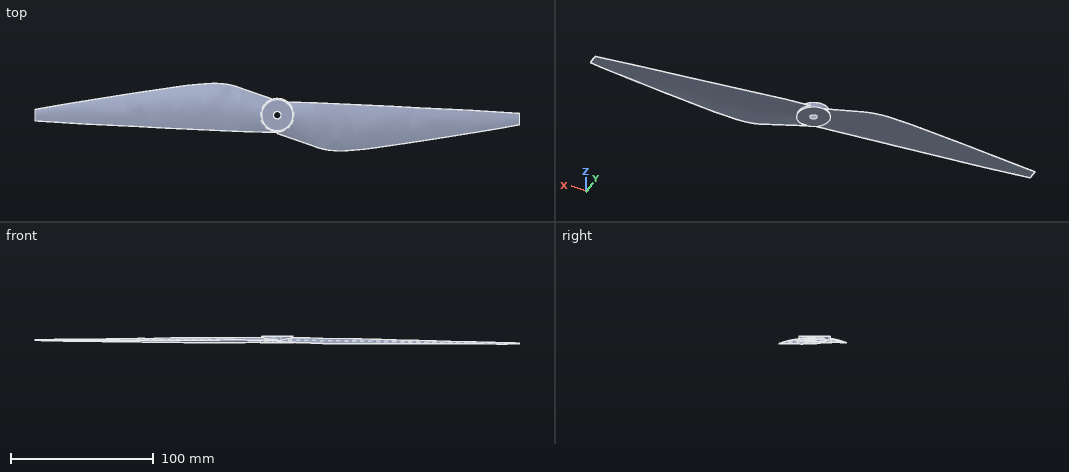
import cadquery as cq
import math

span = 339.5
total_height = 5.8

hub_base_diameter = 23.8
hub_top_diameter = 21.7
hub_bottom = 1.0
hub_offset_y = 1.5
bore_diameter = 5.0

tip_to_tip_drop = 2.5
tilt = math.degrees(math.asin(tip_to_tip_drop / span))
blade_mid_height = 1.85
crown_position = 0.35
edge_thickness = 0.5
root_joint = 25.5
joint_section = (root_joint, -10.2, 20.5, 1.2, -0.7, 2.9, 1.7)

root_sections = [
    (0.0, -11.0, 11.5, 1.0, 0.0, 2.9, 2.0),
    joint_section,
]
blade_sections = [
    joint_section,
    (35.0, -10.0, 23.0, 1.0, -0.95, 2.7, 1.53),
    (45.5, -9.0, 23.8, 0.85, -0.95, 2.6, 1.5),
    (62.5, -8.5, 22.5, 0.7, -0.9, 2.5, 1.2),
    (84.2, -7.5, 19.5, 0.5, -0.75, 1.97, 1.0),
    (108.5, -6.0, 15.5, 0.5, -0.7, 1.45, 0.95),
    (132.0, -5.0, 12.0, 0.17, -0.5, 1.0, 0.85),
    (152.8, -3.7, 8.5, 0.0, -0.5, 0.6, 0.75),
    (span / 2, -2.7, 5.5, 0.0, 0.0, 0.5, 0.7),
]


def section_wire(distance, lead_y, trail_y, lead_z, trail_z, crown_z, thickness):
    """Cambered section with thin square edges, on a plane across the blade."""
    crown_y = lead_y + crown_position * (trail_y - lead_y)
    x = -distance
    lead_top = cq.Vector(x, lead_y, lead_z)
    crown_top = cq.Vector(x, crown_y, crown_z)
    trail_top = cq.Vector(x, trail_y, trail_z)
    edge_drop = cq.Vector(0, 0, edge_thickness)
    lead_low = lead_top - edge_drop
    crown_low = crown_top - cq.Vector(0, 0, thickness)
    trail_low = trail_top - edge_drop
    return cq.Wire.assembleEdges([
        cq.Edge.makeSpline([lead_top, crown_top, trail_top]),
        cq.Edge.makeLine(trail_top, trail_low),
        cq.Edge.makeSpline([trail_low, crown_low, lead_low]),
        cq.Edge.makeLine(lead_low, lead_top),
    ])


def loft_sections(sections):
    wires = [section_wire(*section) for section in sections]
    return cq.Workplane(obj=cq.Solid.makeLoft(wires))


def make_blade():
    return loft_sections(root_sections).union(loft_sections(blade_sections))


def make_hub():
    hub_height = total_height - hub_bottom
    cone = cq.Solid.makeCone(
        hub_base_diameter / 2,
        hub_top_diameter / 2,
        hub_height,
        pnt=cq.Vector(0, hub_offset_y, hub_bottom),
    )
    return cq.Workplane(obj=cone)


blade = make_blade()
blade_pair = blade.union(blade.rotate((0, 0, 0), (0, 0, 1), 180))
blade_pair = blade_pair.rotate((0, 0, 0), (0, 1, 0), tilt)
blade_pair = blade_pair.translate((0, 0, blade_mid_height))

bore = (
    cq.Workplane("XY")
    .center(0, hub_offset_y)
    .circle(bore_diameter / 2)
    .extrude(2 * total_height, both=True)
)

result = blade_pair.union(make_hub()).cut(bore)